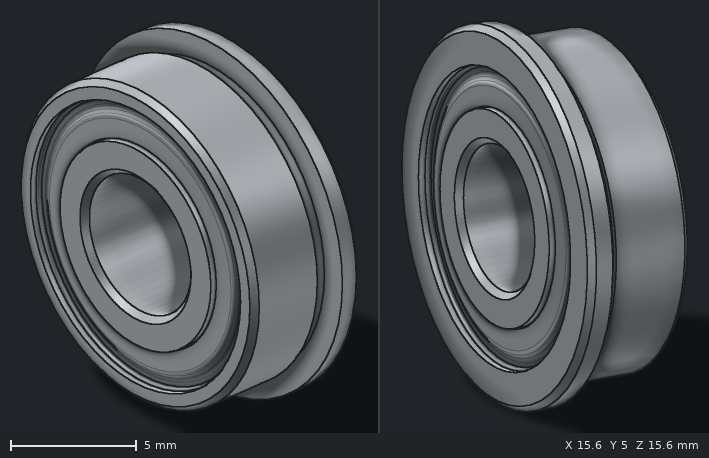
import cadquery as cq

width = 5.0
front = -width / 2
back = width / 2
edge_chamfer = 0.27

flange_radius = 7.8
flange_thickness = 1.01
body_radius = 6.99
neck_radius = 6.74
neck_width = 0.61
ring_bore_radius = 6.18

bore_radius = 3.0
inner_ring_radius = 4.43

shield_recess = 0.25
shield_groove_depth = 0.5
relief_radius = 4.48
relief_depth = 0.39
shield_flat_radius = 5.34
slope_top_radius = 5.52
slope_bottom_radius = 5.66
slope_foot_radius = 5.85
bend_drop = 0.08
hem_recess = 0.3
hem_round = 0.12
hem_radius = ring_bore_radius - hem_round


def revolve(profile):
    """Turn a profile drawn as (radius, y) into a solid around the Y axis."""
    return profile.close().revolve(360, (0, 0, 0), (0, 1, 0))


def make_outer_ring():
    flange_face = back - flange_thickness
    profile = (
        cq.Workplane("XY")
        .moveTo(ring_bore_radius, front)
        .lineTo(body_radius - edge_chamfer, front)
        .lineTo(body_radius, front + edge_chamfer)
        .lineTo(body_radius, flange_face - neck_width)
        .lineTo(neck_radius, flange_face - neck_width)
        .lineTo(neck_radius, flange_face)
        .lineTo(flange_radius, flange_face)
        .lineTo(flange_radius, back - edge_chamfer)
        .lineTo(flange_radius - edge_chamfer, back)
        .lineTo(ring_bore_radius, back)
    )
    return revolve(profile)


def make_inner_ring():
    profile = (
        cq.Workplane("XY")
        .moveTo(bore_radius + edge_chamfer, front)
        .lineTo(inner_ring_radius, front)
        .lineTo(inner_ring_radius, back)
        .lineTo(bore_radius + edge_chamfer, back)
        .lineTo(bore_radius, back - edge_chamfer)
        .lineTo(bore_radius, front + edge_chamfer)
    )
    return revolve(profile)


def bend_middle(foot_radius, foot_y, end_radius):
    """Middle point of the arc that leaves a flat foot and climbs by bend_drop."""
    run = foot_radius - end_radius
    bend_radius = (run**2 + bend_drop**2) / (2 * bend_drop)
    half_chord = (run**2 + bend_drop**2) ** 0.5 / 2
    sag = bend_radius - (bend_radius**2 - half_chord**2) ** 0.5
    chord = 2 * half_chord
    return (
        foot_radius - run / 2 - sag * bend_drop / chord,
        foot_y + bend_drop / 2 - sag * run / chord,
    )


def make_shield():
    """Ring that fills the space between the races, with a raised, bent face and a rounded hem on each end."""
    face = back - shield_recess
    groove_floor = back - shield_groove_depth
    hem_top = back - hem_recess
    relief_floor = back - relief_depth
    profile = (
        cq.Workplane("XY")
        .moveTo(inner_ring_radius, 0)
        .lineTo(inner_ring_radius, relief_floor)
        .lineTo(relief_radius, relief_floor)
        .lineTo(relief_radius, face)
        .lineTo(shield_flat_radius, face)
        .tangentArcPoint((slope_top_radius, face - bend_drop), relative=False)
        .lineTo(slope_bottom_radius, groove_floor + bend_drop)
        .threePointArc(
            bend_middle(slope_foot_radius, groove_floor, slope_bottom_radius),
            (slope_foot_radius, groove_floor),
        )
        .lineTo(hem_radius, groove_floor)
        .lineTo(hem_radius, hem_top - hem_round)
        .tangentArcPoint((ring_bore_radius, hem_top), relative=False)
        .lineTo(ring_bore_radius, 0)
    )
    half = revolve(profile)
    return half.union(half.mirror("XZ"))


outer_ring = make_outer_ring()
inner_ring = make_inner_ring()
shield = make_shield()

result = cq.Compound.makeCompound([outer_ring.val(), inner_ring.val(), shield.val()])